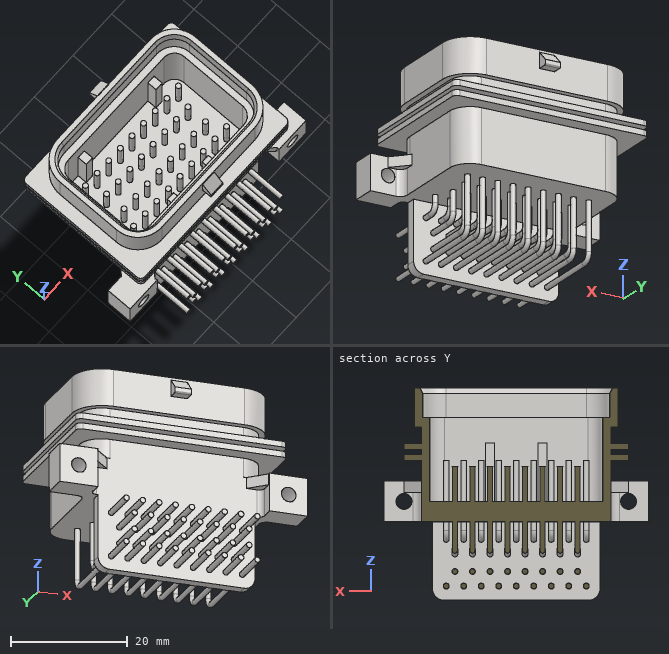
import cadquery as cq
import math


body_length = 32.55
body_width = 21.55
body_corner = 4.0
height = 23.02
floor_thickness = 3.5

head_length = 35.05
head_width = 24.0
head_corner = 5.5
head_height = 6.82

rim_wall = 1.0
lead_in = 0.5
lead_in_depth = 1.0
opening_corner = 4.0
opening_depth = 5.1
cavity_length = 29.58
cavity_width = 18.3
cavity_corner = 2.45

flange_length = 38.5
flange_width = 27.35
flange_corner = 1.0
flange_thickness = 1.1
flange_bottoms = (10.5, 12.38)

ear_span = 45.5
ear_length = 7.0
ear_depth = 5.1
ear_height = 7.0
ear_front = -14.25
ear_hole = 2.65
gusset_leg = 3.0
gusset_height = 2.0
gusset_setback = 0.5
front_fillet = 1.0
rear_fillet = 1.4

plate_length = 28.8
plate_thickness = 2.0
plate_drop = 13.45
plate_corner = 2.0

latch_width = 3.0
latch_tip = 13.95
latch_top_gap = 0.5
latch_height = 3.0
latch_edge_radius = 0.25

rib_width = 1.6
rib_depth = 1.85
rib_top = 13.5
rear_rib_offset = 9.0
front_rib_offset = 4.5

pin_diameter = 1.0
pin_pitch = 3.0
outer_pin_top = 10.5
inner_pin_top = 9.5
pin_end = -18.2
pin_bend = 1.5
pin_rows = (
    (-5.5, 3.0, 9, outer_pin_top),
    (-2.0, 5.5, 8, inner_pin_top),
    (2.0, 8.5, 8, inner_pin_top),
    (5.5, 11.0, 9, outer_pin_top),
)

body_side = body_length / 2
body_front = -body_width / 2


def rounded_block(length, width, corner, bottom, top):
    """Block centred on the Z axis with rounded vertical edges, from z = bottom to z = top."""
    block = cq.Workplane("XY", origin=(0, 0, bottom)).rect(length, width).extrude(top - bottom)
    return block.edges("|Z").fillet(corner)


def both_sides(shape):
    """The shape together with its mirror image across x = 0."""
    return shape.union(shape.mirror("YZ"))


def make_shell():
    shell = rounded_block(body_length, body_width, body_corner, 0, height)
    shell = shell.union(
        rounded_block(head_length, head_width, head_corner, height - head_height, height)
    )
    for bottom in flange_bottoms:
        shell = shell.union(
            rounded_block(flange_length, flange_width, flange_corner, bottom, bottom + flange_thickness)
        )
    return shell


def make_hollow():
    """Cavity, wider opening above it and the sloped lead-in at the rim."""
    cavity = rounded_block(cavity_length, cavity_width, cavity_corner, floor_thickness, height)
    inset = 2 * (rim_wall + lead_in)
    opening = rounded_block(
        head_length - inset, head_width - inset, opening_corner, height - opening_depth, height
    )
    mouth = (
        cq.Workplane("XY", origin=(0, 0, height))
        .sketch()
        .rect(head_length - 2 * rim_wall, head_width - 2 * rim_wall)
        .vertices()
        .fillet(opening_corner + lead_in)
        .finalize()
        .extrude(-lead_in_depth, taper=math.degrees(math.atan2(lead_in, lead_in_depth)))
    )
    return cavity.union(opening).union(mouth)


def make_ear():
    """Ear on the +X side, blended into the squared lower corner of the housing."""
    outer = ear_span / 2
    inner = outer - ear_length
    ear_rear = ear_front + ear_depth
    foot = (
        cq.Workplane("XY")
        .moveTo(0, body_front)
        .lineTo(inner - front_fillet, body_front)
        .radiusArc((inner, body_front - front_fillet), front_fillet)
        .lineTo(inner, ear_front)
        .lineTo(outer, ear_front)
        .lineTo(outer, ear_rear)
        .lineTo(body_side + rear_fillet, ear_rear)
        .radiusArc((body_side, ear_rear + rear_fillet), rear_fillet)
        .lineTo(body_side, 0)
        .lineTo(0, 0)
        .close()
        .extrude(ear_height)
    )
    gusset_front = ear_front + gusset_setback
    gusset = (
        cq.Workplane("XY", origin=(0, 0, ear_height - gusset_height))
        .polyline([
            (inner - (body_front - gusset_front), body_front),
            (inner, gusset_front),
            (body_side + gusset_leg, ear_rear),
            (body_side, ear_rear + gusset_leg),
            (0, ear_rear + gusset_leg),
            (0, body_front),
        ])
        .close()
        .extrude(gusset_height)
    )
    hole = (
        cq.Workplane("XZ", origin=(0, ear_rear, 0))
        .center(outer - ear_length / 2, ear_height / 2)
        .circle(ear_hole / 2)
        .extrude(ear_depth)
    )
    return foot.union(gusset).cut(hole)


def make_plate():
    plate = (
        cq.Workplane("XY", origin=(0, body_front + plate_thickness / 2, 0))
        .rect(plate_length, plate_thickness)
        .extrude(-plate_drop)
    )
    return plate.edges("|Y and <Z").fillet(plate_corner)


def make_latch():
    """Wedge on the +Y face of the head, rooted inside the rim wall."""
    face = head_width / 2
    root = face - rim_wall / 2
    top = height - latch_top_gap
    bottom = top - latch_height
    wedge = (
        cq.Workplane("YZ", origin=(-latch_width / 2, 0, 0))
        .polyline([
            (root, top),
            (face, top),
            (latch_tip, top - (latch_tip - face)),
            (latch_tip, bottom),
            (root, bottom),
        ])
        .close()
        .extrude(latch_width)
    )
    return wedge.edges(">Y and <Z").fillet(latch_edge_radius)


def make_rib(x, side):
    """Keying rib standing on the cavity floor against the +Y or -Y wall."""
    y = side * (cavity_width - rib_depth) / 2
    return cq.Workplane("XY", origin=(x, y, 0)).rect(rib_width, rib_depth).extrude(rib_top)


def make_pin(y, drop, pin_top):
    """Right-angle pin at x = 0."""
    diagonal = pin_bend * math.sqrt(0.5)
    path = (
        cq.Workplane("YZ")
        .moveTo(y, pin_top)
        .lineTo(y, pin_bend - drop)
        .threePointArc(
            (y - pin_bend + diagonal, pin_bend - drop - diagonal),
            (y - pin_bend, -drop),
        )
        .lineTo(pin_end, -drop)
    )
    return cq.Workplane("XY", origin=(0, y, pin_top)).circle(pin_diameter / 2).sweep(path)


shell = make_shell().union(both_sides(make_ear())).cut(make_hollow())
latch = make_latch()
result = shell.union(make_plate()).union(latch).union(latch.mirror("XZ"))

for sign in (-1, 1):
    result = result.union(make_rib(sign * rear_rib_offset, 1))
    result = result.union(make_rib(sign * front_rib_offset, -1))

for y, drop, count, pin_top in pin_rows:
    pin = make_pin(y, drop, pin_top)
    for index in range(count):
        x = (index - (count - 1) / 2) * pin_pitch
        result = result.union(pin.translate((x, 0, 0)))